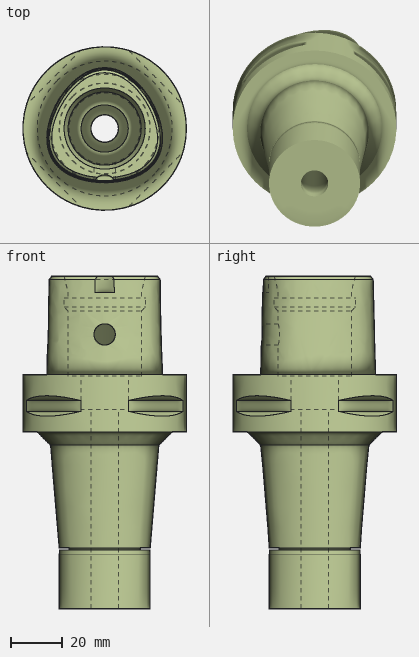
import cadquery as cq
import math

total_height = 128.0
nut_height = 22.7
body_bottom = 23.4
collar_cone_bottom = 63.1
flange_bottom = 68.1
flange_top = 90.1

flange_radius = 31.5
collar_base_radius = 21.0
collar_top_radius = collar_base_radius + flange_bottom - collar_cone_bottom
body_top_radius = 20.9
body_bottom_radius = 17.5
neck_radius = 13.7

shank_mean_radius = 22.1
lobe_height = 1.3
taper_rate = 1 / 40
shank_chamfer_height = 1.3
shank_chamfer_width = 1.0
outline_points = 48

mouth_radius = 15.6
bore_radius = 14.1
mouth_depth = 6.3
groove_top_depth = 8.3
groove_bottom_depth = 11.9
seat_depth = groove_bottom_depth + mouth_radius - bore_radius
bore_depth = 38.4
counterbore_radius = 9.1
counterbore_depth = 51.2
through_radius = 5.2

keyway_radius = 4.4
keyway_depth = 6.3
keyway_inner_y = -17.8
side_hole_radius = 4.1
side_hole_height = 105.6

groove_count = 4
groove_height = 78.1
groove_floor_distance = 27.8
groove_floor_width = 4.1
groove_side_angle = 27.0

nut_radius = 17.5
nut_cone_height = 1.8
nut_top_radius = 17.4


def shank_outline(mean_radius, height):
    """Closed three-lobed curve, with one lobe pointing along +Y."""
    def point(angle):
        x = mean_radius * math.cos(angle) - lobe_height * math.sin(2 * angle)
        y = mean_radius * math.sin(angle) - lobe_height * math.cos(2 * angle)
        return cq.Vector(x, y, height)

    points = [point(2 * math.pi * i / outline_points) for i in range(outline_points)]
    return cq.Wire.assembleEdges([cq.Edge.makeSpline(points, periodic=True)])


def make_shank():
    chamfer_height = total_height - shank_chamfer_height
    chamfer_radius = shank_mean_radius - taper_rate * (chamfer_height - flange_top)
    base = shank_outline(shank_mean_radius, flange_top)
    chamfer_start = shank_outline(chamfer_radius, chamfer_height)
    top = shank_outline(chamfer_radius - shank_chamfer_width, total_height)
    taper = cq.Workplane(cq.Solid.makeLoft([base, chamfer_start], True))
    chamfer = cq.Workplane(cq.Solid.makeLoft([chamfer_start, top], True))
    return taper.union(chamfer)


def make_turned_body():
    profile = [
        (0, nut_height),
        (neck_radius, nut_height),
        (neck_radius, body_bottom),
        (body_bottom_radius, body_bottom),
        (body_top_radius, collar_cone_bottom),
        (collar_base_radius, collar_cone_bottom),
        (collar_top_radius, flange_bottom),
        (flange_radius, flange_bottom),
        (flange_radius, flange_top),
        (0, flange_top),
    ]
    return cq.Workplane("XZ").polyline(profile).close().revolve(360, (0, 0), (0, 1))


def make_bore():
    """Cutter for the mouth, retaining groove, seat and stepped hole."""
    steps = [
        (mouth_radius, 0),
        (bore_radius, mouth_depth),
        (bore_radius, groove_top_depth),
        (mouth_radius, groove_top_depth),
        (mouth_radius, groove_bottom_depth),
        (bore_radius, seat_depth),
        (bore_radius, bore_depth),
        (counterbore_radius, bore_depth),
        (counterbore_radius, counterbore_depth),
        (through_radius, counterbore_depth),
        (through_radius, total_height),
        (0, total_height),
        (0, 0),
    ]
    profile = [(radius, total_height - depth) for radius, depth in steps]
    return cq.Workplane("XZ").polyline(profile).close().revolve(360, (0, 0), (0, 1))


def make_keyway():
    return (
        cq.Workplane("XY", origin=(0, keyway_inner_y - keyway_radius, total_height - keyway_depth))
        .circle(keyway_radius)
        .extrude(keyway_depth)
    )


def make_side_hole():
    """Cutter from the axis out through the -Y wall of the shank."""
    return (
        cq.Workplane("XZ", origin=(0, 0, side_hole_height))
        .circle(side_hole_radius)
        .extrude(flange_radius)
    )


def make_gripper_groove(angle):
    """Straight flared groove across the flange rim, facing the given direction."""
    half_floor = groove_floor_width / 2
    reach = flange_radius - groove_floor_distance
    half_mouth = half_floor + reach * math.tan(math.radians(groove_side_angle))
    profile = [
        (groove_floor_distance, groove_height - half_floor),
        (flange_radius, groove_height - half_mouth),
        (flange_radius, groove_height + half_mouth),
        (groove_floor_distance, groove_height + half_floor),
    ]
    groove = cq.Workplane("XZ").polyline(profile).close().extrude(flange_radius, both=True)
    return groove.rotate((0, 0, 0), (0, 0, 1), angle)


def make_holder():
    holder = make_turned_body().union(make_shank())
    holder = holder.cut(make_bore()).cut(make_keyway()).cut(make_side_hole())
    for index in range(groove_count):
        angle = (index + 0.5) * 360 / groove_count
        holder = holder.cut(make_gripper_groove(angle))
    return holder


def make_nut():
    profile = [
        (through_radius, 0),
        (nut_radius, 0),
        (nut_radius, nut_height - nut_cone_height),
        (nut_top_radius, nut_height),
        (through_radius, nut_height),
    ]
    return cq.Workplane("XZ").polyline(profile).close().revolve(360, (0, 0), (0, 1))


holder = make_holder()
nut = make_nut()

result = cq.Compound.makeCompound([holder.val(), nut.val()])